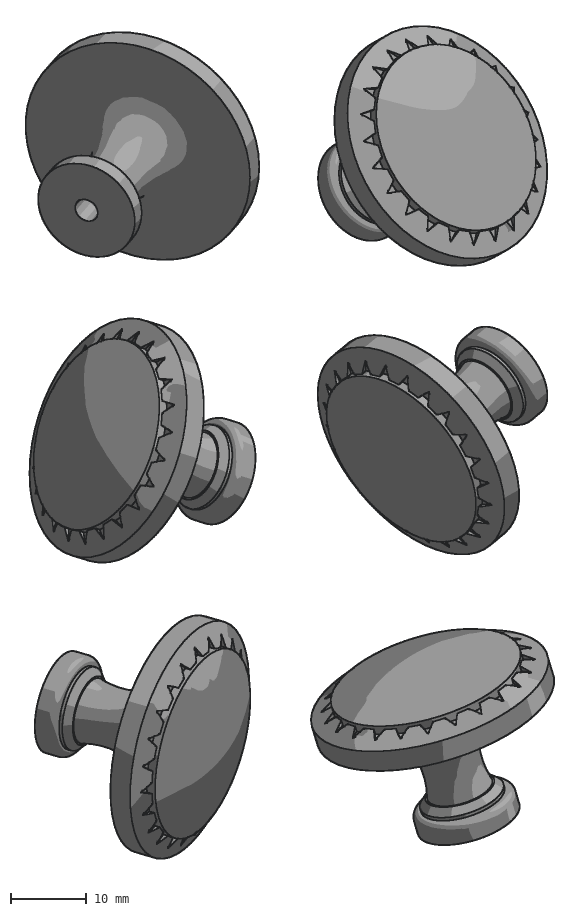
import cadquery as cq
import math


head_radius = 16.25
knob_length = 23.9

foot_diameter = 14.0
foot_radius = foot_diameter / 2
foot_height = 3.0
foot_fillet = 1.0
collar_radius = 5.75
collar_height = 0.5
collar_chamfer = 1.0

neck_base_radius = 4.5
waist_radius = 4.03
waist_height = 7.95
flare_start_radius = 5.15
flare_start_height = 13.1
flare_end_radius = 10.55

rim_thickness = 3.0
shoulder_height = 1.5
step_radius = 13.0
step_height = 0.5
dome_height = 2.4

notch_count = 24
notch_tip_radius = 14.62
notch_half_width = 0.85
notch_inner_overlap = 0.65

hole_diameter = 3.25
hole_depth = 9.75

collar_top = foot_height + collar_height
neck_base = collar_top + collar_chamfer
dome_base = knob_length - dome_height
shoulder_top = dome_base - step_height
rim_top = shoulder_top - shoulder_height
rim_base = rim_top - rim_thickness

shoulder_slope = shoulder_height / (head_radius - step_radius)
notch_floor = rim_top + (head_radius - notch_tip_radius) * shoulder_slope


def make_body():
    """Revolve foot, neck and rim, with the shoulder topped by a flat face."""
    corner = foot_fillet * (1 - math.sqrt(0.5))
    profile = (
        cq.Workplane("XY")
        .moveTo(0, 0)
        .lineTo(foot_radius, 0)
        .lineTo(foot_radius, foot_height - foot_fillet)
        .threePointArc(
            (foot_radius - corner, foot_height - corner),
            (foot_radius - foot_fillet, foot_height),
        )
        .lineTo(collar_radius, foot_height)
        .lineTo(collar_radius, collar_top)
        .lineTo(collar_radius - collar_chamfer, neck_base)
        .lineTo(neck_base_radius, neck_base)
        .threePointArc((waist_radius, waist_height), (flare_start_radius, flare_start_height))
        .tangentArcPoint((flare_end_radius, rim_base), relative=False)
        .lineTo(head_radius, rim_base)
        .lineTo(head_radius, rim_top)
        .lineTo(step_radius, shoulder_top)
        .lineTo(0, shoulder_top)
        .close()
    )
    return profile.revolve(360, (0, 0, 0), (0, 1, 0))


def make_dome():
    """Revolve the dome and its round wall, which reaches down to the notch floors."""
    sphere_radius = (step_radius**2 + dome_height**2) / (2 * dome_height)
    mid_radius = step_radius / 2
    mid_height = knob_length - sphere_radius + math.sqrt(sphere_radius**2 - mid_radius**2)
    profile = (
        cq.Workplane("XY")
        .moveTo(0, notch_floor)
        .lineTo(step_radius, notch_floor)
        .lineTo(step_radius, dome_base)
        .threePointArc((mid_radius, mid_height), (0, knob_length))
        .close()
    )
    return profile.revolve(360, (0, 0, 0), (0, 1, 0))


def cut_notches(body):
    """Cut triangular pockets pointing outward, with walls parallel to the axis.

    Each pocket starts inside the step radius; the dome wall closes its inner end.
    """
    pocket = (
        cq.Workplane("XZ", origin=(0, notch_floor, 0))
        .polyline([
            (step_radius - notch_inner_overlap, -notch_half_width),
            (step_radius, -notch_half_width),
            (notch_tip_radius, 0),
            (step_radius, notch_half_width),
            (step_radius - notch_inner_overlap, notch_half_width),
        ])
        .close()
        .extrude(notch_floor - dome_base)
    )
    for index in range(notch_count):
        angle = index * 360 / notch_count
        body = body.cut(pocket.rotate((0, 0, 0), (0, 1, 0), angle))
    return body


def make_screw_hole():
    """Blind hole entering from the foot face."""
    return cq.Workplane("XZ").circle(hole_diameter / 2).extrude(-hole_depth)


result = cut_notches(make_body()).union(make_dome()).cut(make_screw_hole())